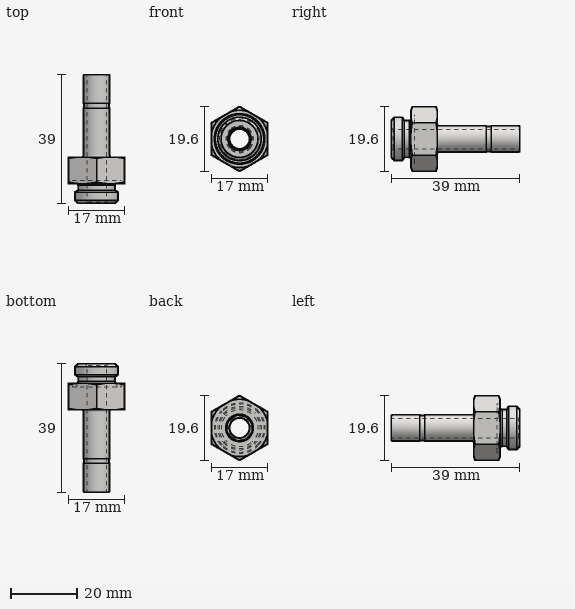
import cadquery as cq
import math

length = 39.0

collar_radius = 13.15 / 2
collar_lead = 0.98
collar_back_start = 3.4
collar_back_end = 4.0
neck_radius = 11.2 / 2
neck_flare_start = 5.42
neck_flare_angle = math.radians(20)

hex_sides = 6
hex_across_flats = 17.0
hex_front = 6.0
hex_back = 14.0
hex_face_radius = 8.65
hex_bevel_angle = math.radians(20)

recess_mouth_radius = 7.65
recess_floor_radius = 7.35
recess_depth = 1.0

stem_radius = 8.0 / 2
stem_end_fillet = 0.5
stem_groove_radius = 7.7 / 2
stem_groove_width = 1.5
stem_groove_from_end = 8.75
stem_root_length = 0.5
stem_root_flare = 0.15

bore_radius = 6.0 / 2
countersink_radius = 3.5


def revolve_about_axis(profile):
    """Turn a closed (radius, y) profile once around the Y axis."""
    return profile.close().revolve(360, (0, 0, 0), (0, 1, 0))


def make_hexagon():
    """Make the hexagon and trim its corners with a bevelled disc."""
    corner_diameter = hex_across_flats / math.cos(math.pi / hex_sides)
    corner_radius = corner_diameter / 2
    prism = (
        cq.Workplane("XZ", origin=(0, hex_front, 0))
        .transformed(rotate=(0, 0, 90))
        .polygon(hex_sides, corner_diameter)
        .extrude(hex_front - hex_back)
    )
    bevel_depth = (corner_radius - hex_face_radius) * math.tan(hex_bevel_angle)
    bevelled_disc = revolve_about_axis(
        cq.Workplane("XY")
        .moveTo(0, hex_front)
        .lineTo(hex_face_radius, hex_front)
        .lineTo(corner_radius, hex_front + bevel_depth)
        .lineTo(corner_radius, hex_back - bevel_depth)
        .lineTo(hex_face_radius, hex_back)
        .lineTo(0, hex_back)
    )
    return prism.intersect(bevelled_disc)


def make_recess():
    """Make the tapered disc that is removed from the spigot side of the hexagon."""
    return revolve_about_axis(
        cq.Workplane("XY")
        .moveTo(0, hex_front)
        .lineTo(recess_mouth_radius, hex_front)
        .lineTo(recess_floor_radius, hex_front + recess_depth)
        .lineTo(0, hex_front + recess_depth)
    )


def make_spigot():
    """Make the collar and the neck, which flares towards the recess floor."""
    recess_floor = hex_front + recess_depth
    neck_root_radius = neck_radius + (recess_floor - neck_flare_start) * math.tan(neck_flare_angle)
    return revolve_about_axis(
        cq.Workplane("XY")
        .lineTo(collar_radius - collar_lead, 0)
        .lineTo(collar_radius, collar_lead)
        .lineTo(collar_radius, collar_back_start)
        .lineTo(neck_radius, collar_back_end)
        .lineTo(neck_radius, neck_flare_start)
        .lineTo(neck_root_radius, recess_floor)
        .lineTo(neck_root_radius, hex_back)
        .lineTo(0, hex_back)
    )


def make_stem():
    """Make the stem with its flared root, rounded end and ring groove."""
    stem = revolve_about_axis(
        cq.Workplane("XY")
        .moveTo(0, hex_back)
        .lineTo(stem_radius + stem_root_flare, hex_back)
        .lineTo(stem_radius, hex_back + stem_root_length)
        .lineTo(stem_radius, length)
        .lineTo(0, length)
    )
    stem = stem.faces(">Y").edges().fillet(stem_end_fillet)
    groove_start = length - stem_groove_from_end - stem_groove_width
    groove_ring = (
        cq.Workplane("XZ", origin=(0, groove_start, 0))
        .circle(stem_radius)
        .circle(stem_groove_radius)
        .extrude(-stem_groove_width)
    )
    return stem.cut(groove_ring)


def make_bore():
    """Make the through bore with its 45 degree countersink."""
    countersink_depth = countersink_radius - bore_radius
    return revolve_about_axis(
        cq.Workplane("XY")
        .lineTo(countersink_radius, 0)
        .lineTo(bore_radius, countersink_depth)
        .lineTo(bore_radius, length)
        .lineTo(0, length)
    )


body = make_hexagon().cut(make_recess())
result = body.union(make_spigot()).union(make_stem()).cut(make_bore())